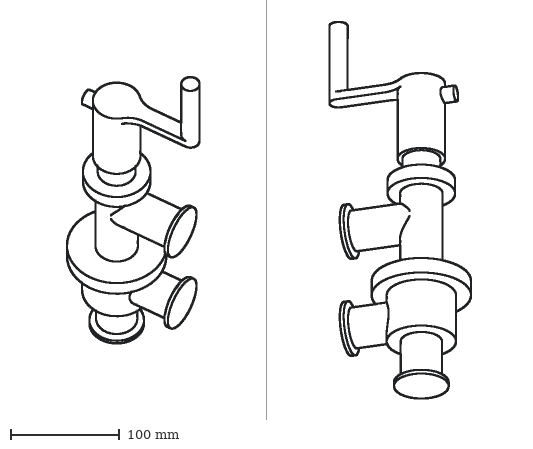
import cadquery as cq
import math

chamber_bottom = 46.0
lower_port_z = 70.0
flange_bottom = 94.0
flange_top = 109.0
upper_port_z = 170.5
collar_bottom = 199.5
collar_top = 213.2
head_bottom = 235.0
button_z = 298.0
head_top = 313.0
overall_height = 385.0

pipe_diameter = 38.0
ferrule_diameter = 50.5
chamber_diameter = 64.0
flange_diameter = 91.5
tube_diameter = 39.3
collar_diameter = 62.5
neck_diameter = 35.0
head_diameter = 44.0
button_diameter = 15.0
grip_diameter = 17.0

ferrule_rim = 4.0
ferrule_length = 6.0
port_reach = 71.0

grip_x = 134.0 - flange_diameter / 2 - grip_diameter / 2
arm_thickness = 8.0
arm_blend_radius = 25.5
button_reach = 33.0


def disc(diameter, bottom, top):
    """Upright cylinder on the main axis between two heights."""
    return cq.Workplane("XY").workplane(offset=bottom).circle(diameter / 2).extrude(top - bottom)


def ferruled_pipe(length):
    """Pipe rising from a clamp ferrule whose face lies at Z = 0."""
    pipe_radius = pipe_diameter / 2
    rim_radius = ferrule_diameter / 2
    return (
        cq.Workplane("XZ")
        .polyline([
            (0, 0),
            (rim_radius, 0),
            (rim_radius, ferrule_rim),
            (pipe_radius, ferrule_length),
            (pipe_radius, length),
            (0, length),
        ])
        .close()
        .revolve(360, (0, 0), (0, 1))
    )


def side_port(height):
    """Ferruled pipe running from the main axis out toward +X."""
    port = ferruled_pipe(port_reach).rotate((0, 0, 0), (0, 1, 0), -90)
    return port.translate((port_reach, 0, height))


def make_lower_housing():
    """Chamber with its flange, bottom connection and side port."""
    chamber = disc(chamber_diameter, chamber_bottom, flange_bottom)
    flange = disc(flange_diameter, flange_bottom, flange_top)
    return ferruled_pipe(chamber_bottom).union(chamber).union(flange).union(side_port(lower_port_z))


def make_upper_housing():
    """Tube standing on the flange, with its top collar and side port."""
    tube = disc(tube_diameter, flange_top, collar_bottom)
    collar = disc(collar_diameter, collar_bottom, collar_top)
    return tube.union(collar).union(side_port(upper_port_z))


def make_crank_arm():
    """Flat arm that blends tangentially from the head into a round grip end."""
    head_radius = head_diameter / 2
    half_width = grip_diameter / 2

    center_y = half_width + arm_blend_radius
    center_distance = head_radius + arm_blend_radius
    center_x = math.sqrt(center_distance**2 - center_y**2)
    head_x = center_x * head_radius / center_distance
    head_y = center_y * head_radius / center_distance

    middle_angle = (math.atan2(-center_y, -center_x) - math.pi / 2) / 2
    middle_x = center_x + arm_blend_radius * math.cos(middle_angle)
    middle_y = center_y + arm_blend_radius * math.sin(middle_angle)

    return (
        cq.Workplane("XY")
        .workplane(offset=head_top - arm_thickness)
        .moveTo(0, 0)
        .lineTo(head_x, -head_y)
        .threePointArc((middle_x, -middle_y), (center_x, -half_width))
        .lineTo(grip_x, -half_width)
        .threePointArc((grip_x + half_width, 0), (grip_x, half_width))
        .lineTo(center_x, half_width)
        .threePointArc((middle_x, middle_y), (head_x, head_y))
        .close()
        .extrude(arm_thickness)
    )


def make_handle():
    """Neck and head with the side button, crank arm and upright grip."""
    neck = disc(neck_diameter, collar_top, head_bottom)
    head = disc(head_diameter, head_bottom, head_top)
    button = (
        cq.Workplane("YZ", origin=(-button_reach, 0, button_z))
        .circle(button_diameter / 2)
        .extrude(button_reach)
    )
    grip = disc(grip_diameter, head_top - arm_thickness, overall_height).translate((grip_x, 0, 0))
    return neck.union(head).union(button).union(make_crank_arm()).union(grip)


lower_housing = make_lower_housing().solids()
upper_housing = make_upper_housing().solids()
handle = make_handle().solids()

result = cq.Compound.makeCompound([lower_housing.val(), upper_housing.val(), handle.val()])